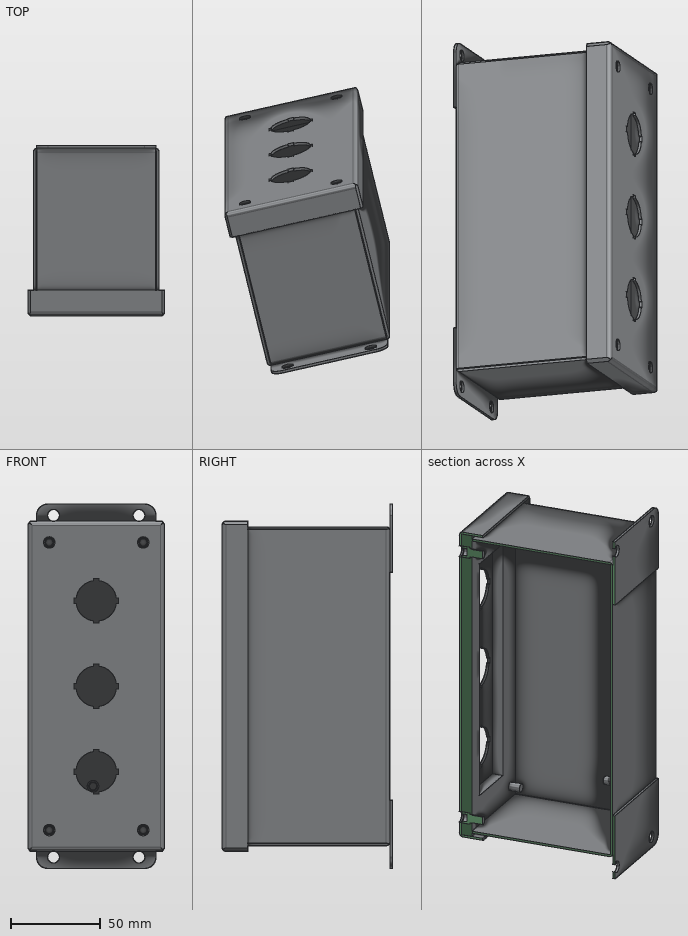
import cadquery as cq
INCH = 25.4

total_depth = 95.12
sheet = 1.52

cover_width = 3.0 * INCH
cover_height = 7.25 * INCH
cover_depth = 14.5
cover_bevel_x = 1.35
cover_bevel_z = 2.0
cover_bend_radius = 2.4

box_width = 2.76 * INCH
box_height = 7.0 * INCH
box_bend_radius = 2.1
box_step_x = 2.0
box_step_z = 1.35

gasket_thickness = 0.25 * INCH
gasket_opening_width = 1.25 * INCH

button_count = 3
button_pitch = 1.875 * INCH
button_diameter = 22.6
notch_span = 24.8
notch_width = 3.17

screw_spacing_x = 2.0625 * INCH
screw_spacing_z = 6.3125 * INCH
screw_head_diameter = 0.25 * INCH
screw_recess = 1.5
screw_head_length = 5.0
socket_diameter = 4.04
socket_depth = 3.0
socket_mouth_chamfer = 0.5
screw_shank_diameter = 4.83
screw_shank_length = 8.0

foot_width = 2.625 * INCH
foot_height = 1.5 * INCH
foot_end_z = 4.0 * INCH
foot_corner_radius = 0.25 * INCH
foot_hole_spacing = 1.875 * INCH
foot_hole_diameter = 6.5
foot_hole_edge = 0.25 * INCH

stud_x = -1.8
stud_z = -55.7
stud_flange_diameter = 6.5
stud_flange_thickness = 0.8
stud_diameter = 4.83
stud_length = 16.0
stud_tip_diameter = 4.04
stud_tip_chamfer = (stud_diameter - stud_tip_diameter) / 2

gasket_back_y = sheet + gasket_thickness
box_back_y = total_depth - sheet
back_wall_inner_y = box_back_y - sheet
screw_head_end_y = screw_recess + screw_head_length
button_places = [(0, (i - (button_count - 1) / 2) * button_pitch) for i in range(button_count)]
corner_signs = [(x_sign, z_sign) for x_sign in (-1, 1) for z_sign in (-1, 1)]
screw_places = [(i * screw_spacing_x / 2, k * screw_spacing_z / 2) for i, k in corner_signs]


def block(width, height, y_start, y_end):
    """Block centred on the Y axis, from y_start to y_end."""
    return cq.Workplane("XY").box(width, y_end - y_start, height).translate((0, (y_start + y_end) / 2, 0))


def rod(diameter, x, z, y_start, y_end):
    """Cylinder along Y, from y_start to y_end."""
    return cq.Workplane(cq.Solid.makeCylinder(
        diameter / 2, y_end - y_start, cq.Vector(x, y_start, z), cq.Vector(0, 1, 0)))


def corner_bevel(x_sign, z_sign):
    """Triangular bar that cuts a flat bevel along one Y edge of the cover."""
    corner_x = x_sign * cover_width / 2
    corner_z = z_sign * cover_height / 2
    return (
        cq.Workplane("XZ")
        .moveTo(corner_x, corner_z)
        .lineTo(corner_x - x_sign * cover_bevel_x, corner_z)
        .lineTo(corner_x, corner_z - z_sign * cover_bevel_z)
        .close()
        .extrude(-cover_depth)
    )


def corner_step(x_sign, z_sign):
    """Rectangular bar that cuts a step along one Y edge of the box."""
    bar = block(box_step_x, box_step_z, gasket_back_y, box_back_y)
    return bar.translate((x_sign * (box_width - box_step_x) / 2, 0, z_sign * (box_height - box_step_z) / 2))


def make_cover():
    shell = block(cover_width, cover_height, 0, cover_depth).faces("<Y").edges().fillet(cover_bend_radius)
    for x_sign, z_sign in corner_signs:
        shell = shell.cut(corner_bevel(x_sign, z_sign))
    cavity = block(cover_width - 2 * sheet, cover_height - 2 * sheet, sheet, cover_depth)
    cover = shell.cut(cavity)
    for x, z in button_places:
        cover = cover.cut(rod(button_diameter, x, z, 0, sheet))
        for width, height in ((notch_span, notch_width), (notch_width, notch_span)):
            cover = cover.cut(block(width, height, 0, sheet).translate((x, 0, z)))
    for x, z in screw_places:
        cover = cover.cut(rod(screw_head_diameter, x, z, 0, sheet))
    return cover


def make_box():
    shell = block(box_width, box_height, gasket_back_y, box_back_y)
    shell = shell.faces(">Y").edges().fillet(box_bend_radius)
    for x_sign, z_sign in corner_signs:
        shell = shell.cut(corner_step(x_sign, z_sign))
    return shell.cut(block(box_width - 2 * sheet, box_height - 2 * sheet, gasket_back_y, back_wall_inner_y))


def make_gasket():
    """Frame of even width that fills the cover and fits closely round the screws."""
    outer_width = cover_width - 2 * sheet
    outer_height = cover_height - 2 * sheet
    opening_height = outer_height - (outer_width - gasket_opening_width)
    frame = block(outer_width, outer_height, sheet, gasket_back_y)
    frame = frame.cut(block(gasket_opening_width, opening_height, sheet, gasket_back_y))
    for x, z in screw_places:
        frame = frame.cut(rod(screw_head_diameter, x, z, sheet, screw_head_end_y))
        frame = frame.cut(rod(screw_shank_diameter, x, z, screw_head_end_y, gasket_back_y))
    return frame


def make_screw(x, z):
    head = rod(screw_head_diameter, x, z, screw_recess, screw_head_end_y)
    shank = rod(screw_shank_diameter, x, z, screw_head_end_y, screw_head_end_y + screw_shank_length)
    socket = rod(socket_diameter, x, z, screw_recess, screw_recess + socket_depth)
    screw = head.union(shank).cut(socket)
    mouth = screw.faces("<Y").edges(cq.selectors.RadiusNthSelector(0))
    return mouth.chamfer(socket_mouth_chamfer)


def make_foot(end):
    """Flat foot plate behind the box; end is +1 for the top and -1 for the bottom."""
    centre_z = end * (foot_end_z - foot_height / 2)
    foot = block(foot_width, foot_height, box_back_y, total_depth).translate((0, 0, centre_z))
    outer_face = ">Z" if end > 0 else "<Z"
    foot = foot.faces(outer_face).edges("|Y").fillet(foot_corner_radius)
    for side in (-1, 1):
        hole_x = side * foot_hole_spacing / 2
        hole_z = end * (foot_end_z - foot_hole_edge)
        foot = foot.cut(rod(foot_hole_diameter, hole_x, hole_z, box_back_y, total_depth))
    return foot


def make_ground_stud():
    flange_y = back_wall_inner_y - stud_flange_thickness
    flange = rod(stud_flange_diameter, stud_x, stud_z, flange_y, back_wall_inner_y)
    shank = rod(stud_diameter, stud_x, stud_z, back_wall_inner_y - stud_length, flange_y)
    return flange.union(shank.faces("<Y").chamfer(stud_tip_chamfer))


cover = make_cover()
box = make_box()
gasket = make_gasket()
screws = [make_screw(x, z) for x, z in screw_places]
feet = [make_foot(end) for end in (-1, 1)]
ground_stud = make_ground_stud()

result = cq.Compound.makeCompound(
    [cover.val(), box.val(), gasket.val(), ground_stud.val()]
    + [screw.val() for screw in screws]
    + [foot.val() for foot in feet]
)